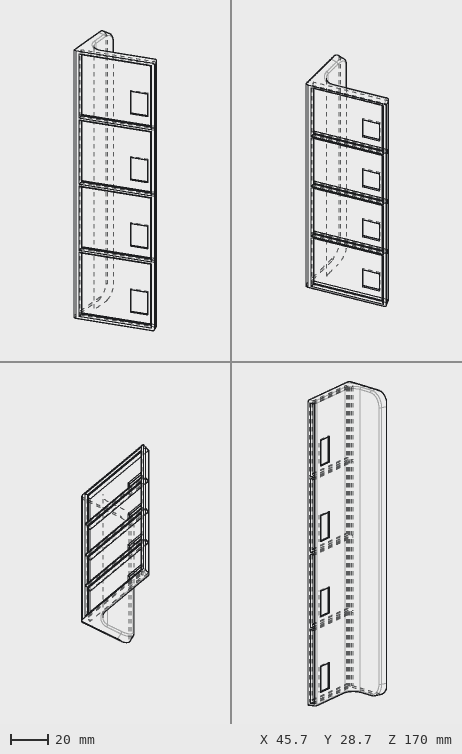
import cadquery as cq
import math

length = 170.0
width = 45.7
depth = 28.7

wall = 5.1
arm_angle = math.radians(70)
inner_radius = 5.0
heel_rise = 0.7
arm_face_chamfer = 0.7
tip_radius = 8.0
back_edge_radius = 1.0

pocket_count = 4
pocket_pitch = 42.0
pocket_size = 40.8
pocket_right_rim = 1.5
bevel = 1.0
lip_thickness = 1.7
slot_height = 41.0
slot_floor = 1.0

window_width = 9.7
window_height = 14.3
window_right_margin = 5.1
window_drop = 8.0

arm_along = cq.Vector(math.cos(arm_angle), math.sin(arm_angle), 0)
arm_across = cq.Vector(math.sin(arm_angle), -math.cos(arm_angle), 0)

pocket_x = width - pocket_right_rim - pocket_size / 2


heel = cq.Vector(-arm_face_chamfer * arm_along.x, heel_rise, 0)
tip_y = depth - arm_face_chamfer * arm_across.y
arm_length = (tip_y - heel.y) / arm_along.y
tip = heel + arm_along * arm_length


def make_section():
    """Extrude the L, with its acute heel cut square to the arm and its inner corner rounded."""
    heel_front = heel + arm_across * (heel.y / -arm_across.y)
    tip_back = tip + arm_across * wall
    inner_corner = tip_back - arm_along * ((tip_back.y - wall) / arm_along.y)
    outline = [
        heel_front,
        cq.Vector(width, 0, 0),
        cq.Vector(width, wall, 0),
        inner_corner,
        tip_back,
        tip,
        heel,
    ]
    body = cq.Workplane("XY").polyline(outline).close().extrude(length)
    inner_edge = cq.selectors.NearestToPointSelector((inner_corner.x, wall, length / 2))
    return body.edges("|Z").edges(inner_edge).fillet(inner_radius)


def chamfer_arm_face(body):
    """Break all four edges of the arm's outer face."""
    outer_face = cq.selectors.DirectionMinMaxSelector(arm_across, directionMax=False)
    return body.faces(outer_face).chamfer(arm_face_chamfer)


def round_arm_tip(body):
    """Trim the two outer corners of the arm to arcs, straight across its thickness."""
    arm_plane = cq.Plane(origin=heel, xDir=arm_along, normal=arm_across)
    rounded_blank = (
        cq.Workplane(arm_plane)
        .moveTo(-width, 0)
        .lineTo(arm_length - tip_radius, 0)
        .radiusArc((arm_length, tip_radius), -tip_radius)
        .lineTo(arm_length, length - tip_radius)
        .radiusArc((arm_length - tip_radius, length), -tip_radius)
        .lineTo(-width, length)
        .close()
        .extrude(width + depth)
    )
    return body.intersect(rounded_blank)


def round_back_edges(body):
    """Round the plate's back and right edges; the rounding runs on around the arm."""
    back_edges = body.faces("+Y").edges(">X or |X")
    right_edges = body.faces(">X").edges("|Y")
    return back_edges.add(right_edges).fillet(back_edge_radius)


def pocket_centers():
    first = length / 2 - pocket_pitch * (pocket_count - 1) / 2
    return [first + i * pocket_pitch for i in range(pocket_count)]


def make_pocket(center_z):
    """Bevelled square opening into a taller slot that runs out at the right side."""
    opening = pocket_size - 2 * bevel
    mouth = (
        cq.Workplane("XZ", origin=(pocket_x, 0, center_z))
        .rect(pocket_size, pocket_size)
        .workplane(offset=-bevel)
        .rect(opening, opening)
        .loft()
    )
    throat = (
        cq.Workplane("XZ", origin=(pocket_x, bevel, center_z))
        .rect(opening, opening)
        .extrude(bevel - lip_thickness)
    )
    slot_left = pocket_x - pocket_size / 2
    slot_width = width - slot_left
    slot_depth = wall - slot_floor - lip_thickness
    slot = (
        cq.Workplane("XY", origin=(slot_left, lip_thickness, center_z))
        .box(slot_width, slot_depth, slot_height, centered=(False, False, True))
    )
    return mouth.union(throat).union(slot)


def make_window(center_z):
    center_x = width - window_right_margin - window_width / 2
    return (
        cq.Workplane("XZ", origin=(center_x, 0, center_z - window_drop))
        .rect(window_width, window_height)
        .extrude(-wall)
    )


result = make_section()
for step in (chamfer_arm_face, round_arm_tip, round_back_edges):
    result = step(result)
for z in pocket_centers():
    result = result.cut(make_pocket(z)).cut(make_window(z))